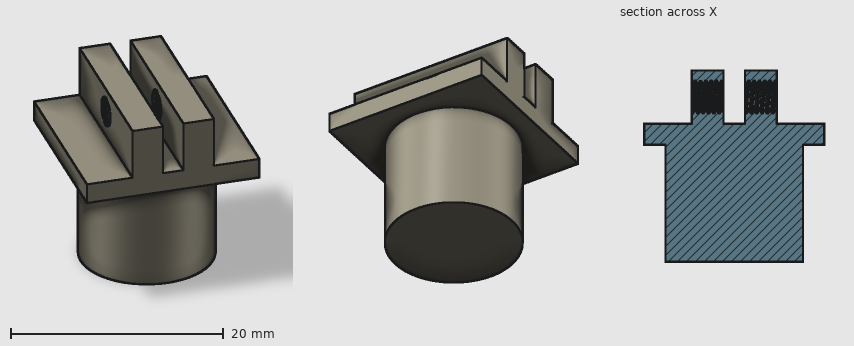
import cadquery as cq
import math

plug_diameter = 13.0
plug_height = 11.0
flange_side = 16.97
flange_thickness = 2.0

total_height = 18
rib_thickness = 3.0
rib_gap = 2.0
flange_top = plug_height + flange_thickness
rib_height = total_height - flange_top
rib_outer_face = rib_gap / 2 + rib_thickness

minor_diameter = 2.54
major_diameter = 3.08
thread_pitch = 0.5
root_flat = thread_pitch / 8
flank_angle = 30
thread_run_in = 1.5 * thread_pitch
flank_samples = 12
hole_height = flange_top + rib_height / 2


def make_body():
    """Plug, flange and the two ribs."""
    body = cq.Workplane("XY").circle(plug_diameter / 2).extrude(plug_height)
    flange = cq.Workplane("XY").workplane(offset=plug_height).rect(flange_side, flange_side)
    body = body.union(flange.extrude(flange_thickness))
    rib_offset = (rib_gap + rib_thickness) / 2
    for side in (-1, 1):
        rib = (
            cq.Workplane("XY", origin=(0, side * rib_offset, flange_top))
            .rect(flange_side, rib_thickness)
            .extrude(rib_height)
        )
        body = body.union(rib)
    return body


def thread_section():
    """Cross-section of the threaded hole: crest arc, rising flank, root arc, falling flank.

    Along a right-hand thread one turn equals one pitch, so axial widths become
    angles and the straight flanks become Archimedean spirals.
    """
    minor_radius = minor_diameter / 2
    major_radius = major_diameter / 2
    flank_width = (major_radius - minor_radius) * math.tan(math.radians(flank_angle))
    flank_turn = 2 * math.pi * flank_width / thread_pitch
    half_root = math.pi * root_flat / thread_pitch
    half_mouth = half_root + flank_turn

    def polar(radius, angle):
        return (radius * math.cos(angle), radius * math.sin(angle))

    def flank_point(step, side):
        """Point on a flank; step runs from 0 at the root to 1 at the crest."""
        radius = major_radius + (minor_radius - major_radius) * step
        return polar(radius, side * (half_root + flank_turn * step))

    return (
        cq.Workplane("XY")
        .moveTo(*flank_point(1, 1))
        .threePointArc(polar(minor_radius, math.pi), flank_point(1, -1))
        .parametricCurve(lambda t: flank_point(1 - t, -1), N=flank_samples, makeWire=False)
        .threePointArc(polar(major_radius, 0), flank_point(0, 1))
        .parametricCurve(lambda t: flank_point(t, 1), N=flank_samples, makeWire=False)
        .wire()
    )


def make_threaded_hole():
    """Right-hand threaded hole, continuous across the gap between the ribs."""
    length = 2 * (rib_outer_face + thread_run_in)
    hole = thread_section().twistExtrude(length, 360 * length / thread_pitch)
    hole = hole.rotate((0, 0, 0), (1, 0, 0), -90)
    return hole.translate((0, -length / 2, hole_height))


result = make_body().cut(make_threaded_hole())